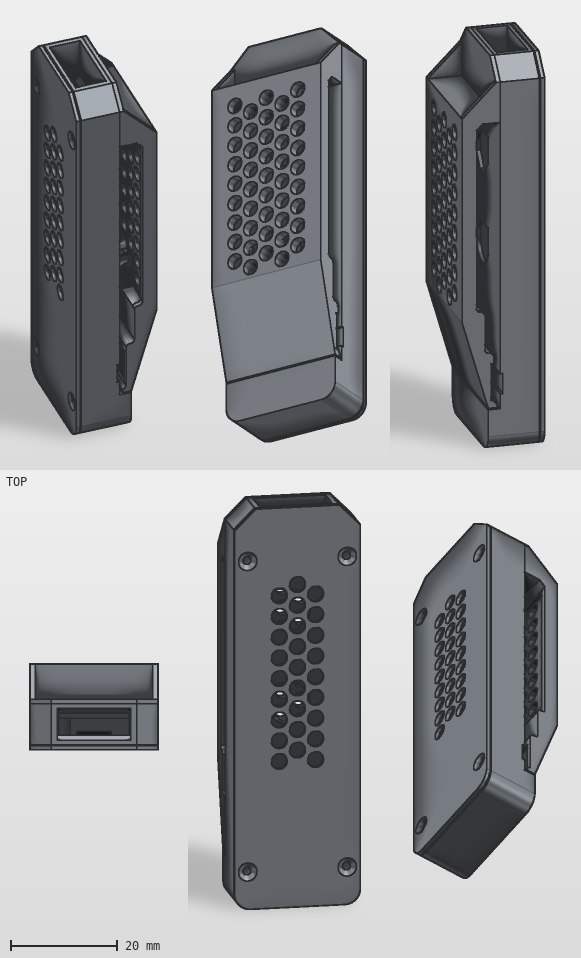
import cadquery as cq
import math

WIDTH = 24.0
DEPTH = 16.1
HEIGHT = 77.25
TOP_CHAMFER = 4.0
BOTTOM_RADIUS = 3.0

COVER_THICKNESS = 0.8
HOUSING_FRONT = COVER_THICKNESS
SEAM_GROOVE_WIDTH = 0.2
SEAM_GROOVE_DEPTH = 0.3
HOUSING_BACK = 8.65
BACK_WALL = 0.8
CAVITY_BACK = HOUSING_BACK - BACK_WALL

SCREW_X = 9.5
SCREW_DROPS = (10.0, 70.0)
SCREW_DIAMETER = 1.5
SCREW_HEAD_DIAMETER = 3.5
SCREW_DEPTH = 5.0

VENT_DIAMETER = 3.0
VENT_PITCH = 4.0
VENT_COLUMN_SPACING = VENT_PITCH * math.sqrt(3) / 2
VENT_ROWS = 9
VENT_FIRST_DROP = 14.95
COVER_COLUMNS = (-1, 0, 1)
CLIP_COLUMNS = (-2, -1, 0, 1, 2)

MOUTH_WIDTH = 13.8
MOUTH_FRONT = 1.8
MOUTH_DEPTH = 8.0
FUNNEL = 1.0
CAVITY_WIDTH = 13.1
CAVITY_TOP_DROP = 12.0
CAVITY_FLOOR_DROP = 66.0
STEP_BACK = 5.9
STEP_DROP = 56.0
FLOOR_NOTCH_RADIUS = 2.1
FLOOR_BEVEL_WIDTH = 6.5
FLOOR_BEVEL = 0.7

WINDOW_RADIUS = 4.0
WINDOW_LEFT = 3.75
WINDOW_HEIGHT = 8.1
WINDOW_BEVEL_X = 2.4
WINDOW_BEVEL_Z = 2.75
WINDOW_OUTER_DROPS = (17.75, 43.95)

PANEL_BACK = 11.0
PANEL_TOP_DROP = 68.95
WALL_NOTCH_DEPTH = 0.5
WALL_NOTCH_TOP_DROP = 62.0
WALL_NOTCH_LENGTH = 4.0

CLIP_TOP_BACK = 9.5
CLIP_SLOPE_END_DROP = TOP_CHAMFER + DEPTH - CLIP_TOP_BACK
CLIP_TAPER_DROP = 51.1
CLIP_END_GAP = 0.3
CLIP_BOTTOM_DROP = PANEL_TOP_DROP - CLIP_END_GAP
OPENING_TOP_DROP = 12.0
CHEEK = 1.0
INNER_WIDTH = WIDTH - 2 * CHEEK
CLIP_INNER = 13.25
CLIP_STEP = 11.63
CLIP_TOE = 9.95
CLIP_LIP = 9.25
LIP_HEIGHT = 0.6
LIP_BEVEL = 0.8
OPENING_BEVEL = 1.2
TOE_STEP_DROP = 58.3
STEP_LENGTH = 1.2
RECESS_BACK = 14.0
RECESS_TOP_DROP = 13.4
RECESS_BOTTOM_DROP = 50.0
PAD_WIDTH = 10.0
PAD_STEP_LENGTH = 1.3
UPPER_PAD_END_DROP = 17.9
LOWER_PAD_START_DROP = 43.8
UPPER_PAD_FRONT = 11.4
TOE_NOTCH_DEPTH = 0.5
TOE_NOTCH_TOP_DROP = 59.9
TOE_NOTCH_LENGTH = 7.3


def height_at(drop):
    """Z of a level given as its distance below the top end."""
    return HEIGHT - drop


def block(width, front, back, top_drop, bottom_drop, center_x=0.0):
    return (
        cq.Workplane("XY")
        .box(width, back - front, bottom_drop - top_drop, centered=(True, False, False))
        .translate((center_x, front, height_at(bottom_drop)))
    )


def side_prism(points, width):
    """Extrude an outline of (y, drop) points symmetrically along X."""
    outline = [(y, height_at(drop)) for y, drop in points]
    return cq.Workplane("YZ").polyline(outline).close().extrude(width / 2, both=True)


def face_prism(front, back, inset=0.0):
    """Slab with bevelled top corners and rounded bottom corners, its outline inset evenly."""
    return (
        block(WIDTH - 2 * inset, front, back, inset, HEIGHT - inset)
        .edges("|Y and >Z")
        .chamfer(TOP_CHAMFER - inset * (2 - math.sqrt(2)))
        .edges("|Y and <Z")
        .fillet(BOTTOM_RADIUS - inset)
    )


def pins_along_y(points, diameter, front, back):
    """Cylinders along Y at (x, drop) points."""
    centers = [(x, height_at(drop)) for x, drop in points]
    return (
        cq.Workplane("XZ", origin=(0, front, 0))
        .pushPoints(centers)
        .circle(diameter / 2)
        .extrude(front - back)
    )


def vent_points(columns):
    """Vent centres; every odd column is shifted down by half a pitch."""
    points = []
    for column in columns:
        first_drop = VENT_FIRST_DROP + (column % 2) * VENT_PITCH / 2
        for row in range(VENT_ROWS):
            points.append((column * VENT_COLUMN_SPACING, first_drop + row * VENT_PITCH))
    return points


SCREW_POINTS = [(side * SCREW_X, drop) for side in (-1, 1) for drop in SCREW_DROPS]


def make_cover():
    cover = face_prism(0, COVER_THICKNESS)
    cover = cover.cut(pins_along_y(vent_points(COVER_COLUMNS), VENT_DIAMETER, 0, COVER_THICKNESS))
    for x, drop in SCREW_POINTS:
        countersink = cq.Solid.makeCone(
            SCREW_HEAD_DIAMETER / 2,
            SCREW_DIAMETER / 2,
            COVER_THICKNESS,
            cq.Vector(x, 0, height_at(drop)),
            cq.Vector(0, 1, 0),
        )
        cover = cover.cut(cq.Workplane(countersink))
    return cover


def connector_mouth():
    """Rectangular mouth in the top end, narrowing front and back into the cavity."""
    throat_drop = MOUTH_DEPTH + FUNNEL
    outline = [
        (MOUTH_FRONT, 0),
        (CAVITY_BACK, 0),
        (CAVITY_BACK, MOUTH_DEPTH),
        (CAVITY_BACK - FUNNEL, throat_drop),
        (MOUTH_FRONT + FUNNEL, throat_drop),
        (MOUTH_FRONT, MOUTH_DEPTH),
    ]
    mouth = side_prism(outline, MOUTH_WIDTH)
    throat = block(
        CAVITY_WIDTH, MOUTH_FRONT + FUNNEL, CAVITY_BACK - FUNNEL, throat_drop, CAVITY_TOP_DROP
    )
    return mouth.union(throat)


def housing_cavity():
    """Cavity open to the cover, shallower near its floor, with a round floor notch on the left."""
    deep = block(CAVITY_WIDTH, HOUSING_FRONT, CAVITY_BACK, CAVITY_TOP_DROP, STEP_DROP)
    shallow = block(CAVITY_WIDTH, HOUSING_FRONT, STEP_BACK, STEP_DROP, CAVITY_FLOOR_DROP)
    notch = pins_along_y(
        [(-CAVITY_WIDTH / 2, CAVITY_FLOOR_DROP)], 2 * FLOOR_NOTCH_RADIUS, HOUSING_FRONT, STEP_BACK
    ).intersect(
        block(CAVITY_WIDTH, HOUSING_FRONT, STEP_BACK, CAVITY_FLOOR_DROP, PANEL_TOP_DROP)
    )
    bevel_back = MOUTH_FRONT + FUNNEL + FLOOR_BEVEL
    bevel = side_prism(
        [
            (HOUSING_FRONT, CAVITY_FLOOR_DROP),
            (bevel_back, CAVITY_FLOOR_DROP),
            (HOUSING_FRONT, CAVITY_FLOOR_DROP + bevel_back - HOUSING_FRONT),
        ],
        FLOOR_BEVEL_WIDTH,
    )
    return deep.union(shallow).union(notch).union(bevel)


def window_side(outer_drop, inward):
    """Open outline of a window's +X side, from its rounded outer end to its bevelled inner end.

    `inward` is +1 where the inner end lies below the outer end, and -1 where it lies above.
    """
    outer = height_at(outer_drop)
    center = outer - inward * WINDOW_RADIUS
    inner = outer - inward * WINDOW_HEIGHT
    bevel_start = inner + inward * WINDOW_BEVEL_Z
    diagonal = WINDOW_RADIUS * math.sqrt(0.5)
    return (
        cq.Workplane("XZ", origin=(0, CAVITY_BACK, 0))
        .moveTo(0, outer)
        .threePointArc((diagonal, center + inward * diagonal), (WINDOW_RADIUS, center))
        .lineTo(WINDOW_RADIUS, bevel_start)
        .lineTo(WINDOW_RADIUS - WINDOW_BEVEL_X, inner)
    )


def upper_window():
    """Square outer corner and bevelled inner corner on the -X side."""
    return (
        window_side(WINDOW_OUTER_DROPS[0], 1)
        .lineTo(WINDOW_BEVEL_X - WINDOW_LEFT, height_at(WINDOW_OUTER_DROPS[0] + WINDOW_HEIGHT))
        .lineTo(-WINDOW_LEFT, height_at(WINDOW_OUTER_DROPS[0] + WINDOW_HEIGHT - WINDOW_BEVEL_Z))
        .lineTo(-WINDOW_LEFT, height_at(WINDOW_OUTER_DROPS[0]))
        .close()
        .extrude(-BACK_WALL)
    )


def lower_window():
    """Rounded outer end and square inner corner on the -X side."""
    center_drop = WINDOW_OUTER_DROPS[1] - WINDOW_RADIUS
    arc_start = math.sqrt(WINDOW_RADIUS**2 - WINDOW_LEFT**2)
    diagonal = WINDOW_RADIUS * math.sqrt(0.5)
    return (
        window_side(WINDOW_OUTER_DROPS[1], -1)
        .lineTo(-WINDOW_LEFT, height_at(WINDOW_OUTER_DROPS[1] - WINDOW_HEIGHT))
        .lineTo(-WINDOW_LEFT, height_at(center_drop + arc_start))
        .threePointArc(
            (-diagonal, height_at(center_drop + diagonal)), (0, height_at(WINDOW_OUTER_DROPS[1]))
        )
        .close()
        .extrude(-BACK_WALL)
    )


def make_housing():
    body_front = HOUSING_FRONT + SEAM_GROOVE_WIDTH
    housing = face_prism(body_front, PANEL_BACK)
    housing = housing.union(face_prism(HOUSING_FRONT, body_front, SEAM_GROOVE_DEPTH))
    housing = housing.cut(block(WIDTH, HOUSING_BACK, PANEL_BACK, 0, PANEL_TOP_DROP))
    housing = housing.cut(connector_mouth()).cut(housing_cavity())
    housing = housing.cut(upper_window()).cut(lower_window())
    pilots = pins_along_y(SCREW_POINTS, SCREW_DIAMETER, HOUSING_FRONT, HOUSING_FRONT + SCREW_DEPTH)
    wall_notch = block(
        WIDTH,
        HOUSING_BACK - WALL_NOTCH_DEPTH,
        HOUSING_BACK,
        WALL_NOTCH_TOP_DROP,
        WALL_NOTCH_TOP_DROP + WALL_NOTCH_LENGTH,
    )
    return housing.cut(pilots).cut(wall_notch)


def s_step(sketch, start, end):
    """Step between two (y, drop) points: two arcs that run level where they meet halfway."""
    half_y = (end[0] - start[0]) / 2
    half_drop = (end[1] - start[1]) / 2
    radius = (half_y**2 + half_drop**2) / (2 * abs(half_drop))
    half_angle = math.asin(abs(half_y) / radius) / 2
    arc_y = math.copysign(radius * math.sin(half_angle), half_y)
    arc_drop = math.copysign(radius * (1 - math.cos(half_angle)), half_drop)
    middle = (start[0] + half_y, height_at(start[1] + half_drop))
    return sketch.threePointArc((middle[0] - arc_y, middle[1] + arc_drop), middle).threePointArc(
        (middle[0] + arc_y, middle[1] - arc_drop), (end[0], height_at(end[1]))
    )


def draw_lines(sketch, points):
    for y, drop in points:
        sketch = sketch.lineTo(y, height_at(drop))
    return sketch


def clip_side():
    """Full-width body of the clip: outer back, tapered tail and stepped inner side."""
    outer_back = [
        (CLIP_TOP_BACK, 0),
        (CLIP_TOP_BACK, TOP_CHAMFER),
        (DEPTH, CLIP_SLOPE_END_DROP),
        (DEPTH, CLIP_TAPER_DROP),
        (PANEL_BACK, CLIP_BOTTOM_DROP),
    ]
    tail_lip = [
        (CLIP_LIP, CLIP_BOTTOM_DROP),
        (CLIP_LIP, CLIP_BOTTOM_DROP - LIP_HEIGHT),
        (CLIP_TOE, CLIP_BOTTOM_DROP - LIP_HEIGHT - LIP_BEVEL),
    ]
    opening_top = [
        (CLIP_INNER, OPENING_TOP_DROP + OPENING_BEVEL),
        (CLIP_INNER - OPENING_BEVEL, OPENING_TOP_DROP),
        (HOUSING_BACK, OPENING_TOP_DROP),
    ]
    side = cq.Workplane("YZ").moveTo(HOUSING_BACK, HEIGHT)
    side = draw_lines(side, outer_back + tail_lip + [(CLIP_TOE, TOE_STEP_DROP)])
    side = s_step(side, (CLIP_TOE, TOE_STEP_DROP), (CLIP_STEP, TOE_STEP_DROP - STEP_LENGTH))
    side = draw_lines(side, [(CLIP_STEP, RECESS_BOTTOM_DROP)])
    side = s_step(
        side, (CLIP_STEP, RECESS_BOTTOM_DROP), (CLIP_INNER, RECESS_BOTTOM_DROP - STEP_LENGTH)
    )
    return draw_lines(side, opening_top).close().extrude(WIDTH / 2, both=True)


def upper_pad():
    """Raised pad under the top of the opening."""
    pad = cq.Workplane("YZ").moveTo(RECESS_BACK, height_at(OPENING_TOP_DROP))
    pad = draw_lines(
        pad,
        [
            (UPPER_PAD_FRONT - OPENING_BEVEL, OPENING_TOP_DROP),
            (UPPER_PAD_FRONT, OPENING_TOP_DROP + OPENING_BEVEL),
            (UPPER_PAD_FRONT, UPPER_PAD_END_DROP - PAD_STEP_LENGTH),
        ],
    )
    pad = s_step(
        pad,
        (UPPER_PAD_FRONT, UPPER_PAD_END_DROP - PAD_STEP_LENGTH),
        (CLIP_INNER, UPPER_PAD_END_DROP),
    )
    pad = draw_lines(pad, [(RECESS_BACK, UPPER_PAD_END_DROP)])
    return pad.close().extrude(PAD_WIDTH / 2, both=True)


def lower_pad():
    """Raised pad standing on the ledge at the bottom of the recess."""
    pad = cq.Workplane("YZ").moveTo(RECESS_BACK, height_at(RECESS_BOTTOM_DROP))
    pad = draw_lines(
        pad, [(RECESS_BACK, LOWER_PAD_START_DROP), (CLIP_INNER, LOWER_PAD_START_DROP)]
    )
    pad = s_step(
        pad,
        (CLIP_INNER, LOWER_PAD_START_DROP),
        (CLIP_STEP, LOWER_PAD_START_DROP + PAD_STEP_LENGTH),
    )
    pad = draw_lines(pad, [(CLIP_STEP, RECESS_BOTTOM_DROP)])
    return pad.close().extrude(PAD_WIDTH / 2, both=True)


def make_clip():
    clip = clip_side().intersect(face_prism(HOUSING_BACK, DEPTH))
    clip = clip.cut(block(INNER_WIDTH, CLIP_TOP_BACK, DEPTH, 0, CLIP_SLOPE_END_DROP))
    clip = clip.cut(
        block(INNER_WIDTH, CLIP_STEP, RECESS_BACK, RECESS_TOP_DROP, RECESS_BOTTOM_DROP)
    )
    clip = clip.union(upper_pad()).union(lower_pad())
    clip = clip.cut(pins_along_y(vent_points(CLIP_COLUMNS), VENT_DIAMETER, HOUSING_BACK, DEPTH))
    toe_notch = block(
        WIDTH - CHEEK,
        CLIP_TOE,
        CLIP_TOE + TOE_NOTCH_DEPTH,
        TOE_NOTCH_TOP_DROP,
        TOE_NOTCH_TOP_DROP + TOE_NOTCH_LENGTH,
        -CHEEK / 2,
    )
    return clip.cut(toe_notch)


cover = make_cover()
housing = make_housing()
clip = make_clip()
result = cq.Compound.makeCompound([cover.val(), housing.val(), clip.val()])